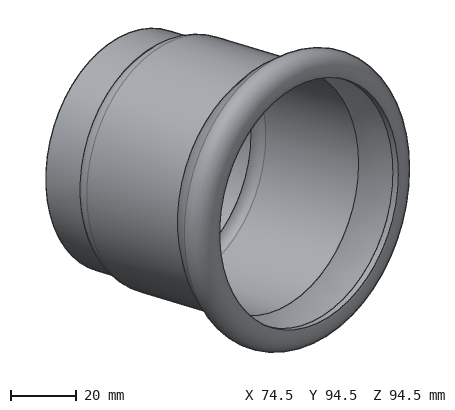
import cadquery as cq
import math

wall = 2.0
length = 74.5
spigot_radius = 76.1 / 2
body_radius = 80.7 / 2
rim_radius = 94.5 / 2
mouth_radius = 78.5 / 2

shoulder_start = 14.4
shoulder_end = 19.4
flare_start = 57.4
bead_start = 66.3
bead_round = 5.8

shoulder_run = shoulder_end - shoulder_start
shoulder_rise = body_radius - spigot_radius
shoulder_round = (shoulder_run**2 + shoulder_rise**2) / (2 * shoulder_rise)
shoulder_center = (shoulder_end, body_radius - shoulder_round)

bead_center = (length - bead_round, rim_radius - bead_round)
joint_angle = math.acos((bead_start - bead_center[0]) / bead_round)

joint_radius = bead_center[1] + bead_round * math.sin(joint_angle)
flare_run = bead_start - flare_start
flare_rise = joint_radius - body_radius
flare_chord = math.hypot(flare_run, flare_rise)
tangent_angle = joint_angle - math.pi / 2
half_sweep = math.atan2(flare_rise, flare_run) - tangent_angle
flare_round = flare_chord / (2 * math.sin(half_sweep))
flare_center = (
    bead_start - flare_round * math.cos(joint_angle),
    joint_radius - flare_round * math.sin(joint_angle),
)


def on_arc(center, arc_radius, angle):
    """Point at an angle on an arc of the profile."""
    return (center[0] + arc_radius * math.cos(angle), center[1] + arc_radius * math.sin(angle))


def angle_at(center, arc_radius, height):
    """Forward angle at which an arc has the given radius from the X axis."""
    return math.asin((height - center[1]) / arc_radius)


def wall_side(inset):
    """Named profile points of one wall surface, set in from the outer skin."""

    shoulder_arc = shoulder_round - inset
    flare_arc = flare_round - inset
    bead_arc = bead_round - inset
    shoulder_angle = math.pi - angle_at(shoulder_center, shoulder_arc, spigot_radius - inset)
    flare_angle = math.pi - angle_at(flare_center, flare_arc, body_radius - inset)
    lip_angle = angle_at(bead_center, bead_arc, mouth_radius)
    return {
        "shoulder_start": on_arc(shoulder_center, shoulder_arc, shoulder_angle),
        "shoulder_middle": on_arc(shoulder_center, shoulder_arc, (shoulder_angle + math.pi / 2) / 2),
        "shoulder_end": (shoulder_end, body_radius - inset),
        "flare_start": on_arc(flare_center, flare_arc, flare_angle),
        "flare_middle": on_arc(flare_center, flare_arc, (flare_angle + joint_angle) / 2),
        "joint": on_arc(bead_center, bead_arc, joint_angle),
        "bead_middle": on_arc(bead_center, bead_arc, (joint_angle + lip_angle) / 2),
        "lip": on_arc(bead_center, bead_arc, lip_angle),
    }


outer = wall_side(0)
inner = wall_side(wall)

profile = (
    cq.Workplane("XY")
    .moveTo(0, spigot_radius)
    .lineTo(*outer["shoulder_start"])
    .threePointArc(outer["shoulder_middle"], outer["shoulder_end"])
    .lineTo(*outer["flare_start"])
    .threePointArc(outer["flare_middle"], outer["joint"])
    .threePointArc(outer["bead_middle"], outer["lip"])
    .lineTo(*inner["lip"])
    .threePointArc(inner["bead_middle"], inner["joint"])
    .threePointArc(inner["flare_middle"], inner["flare_start"])
    .lineTo(*inner["shoulder_end"])
    .threePointArc(inner["shoulder_middle"], inner["shoulder_start"])
    .lineTo(0, spigot_radius - wall)
    .close()
)

result = profile.revolve(360, (0, 0, 0), (1, 0, 0))